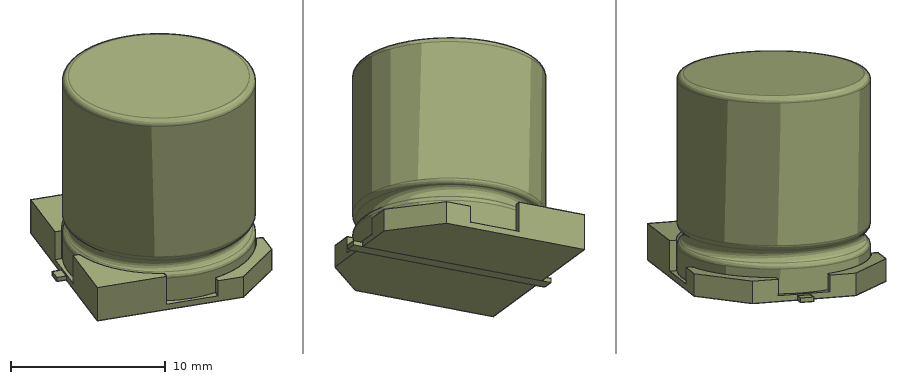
import cadquery as cq
import math

base_width = 13.0
base_height = 2.43
low_height = 1.5
corner_chamfer = 3.0
floor_height = 0.4
notch_width = 3.5

can_radius = 12.5 / 2
can_top = 13.51
top_edge_radius = 0.4
groove_radius = 0.49
groove_depth = 0.46
lip_radius = 0.4
groove_height = 2.83

seat_clearance = 0.05

terminal_length = 14.3
terminal_width = 0.9
terminal_thickness = 0.3


def make_terminal():
    return cq.Workplane("XY").box(
        terminal_width, terminal_length, terminal_thickness, centered=(True, True, False)
    )


def make_base(terminal):
    block = (
        cq.Workplane("XY")
        .box(base_width, base_width, base_height, centered=(True, True, False))
        .edges("|Z and >Y")
        .chamfer(corner_chamfer)
    )
    above_low_side = (
        cq.Workplane("XY", origin=(0, notch_width / 2, low_height))
        .box(base_width, base_width, base_height, centered=(True, False, False))
    )
    floor = cq.Workplane("XY", origin=(0, 0, floor_height))
    seat = floor.circle(can_radius + seat_clearance).extrude(base_height)
    notches_y = floor.rect(notch_width, base_width).extrude(base_height)
    notches_x = floor.rect(base_width, notch_width).extrude(base_height)
    return block.cut(above_low_side).cut(seat).cut(notches_y).cut(notches_x).cut(terminal)


def make_can():
    centre_distance = groove_radius + lip_radius
    centre_offset_r = centre_distance - groove_depth
    centre_offset_z = math.sqrt(centre_distance**2 - centre_offset_r**2)
    lip_centre_r = can_radius - lip_radius
    lip_share = lip_radius / centre_distance
    joint_r = lip_centre_r + lip_share * centre_offset_r
    joint_offset_z = (1 - lip_share) * centre_offset_z

    lip_half_angle = math.atan2(centre_offset_z, centre_offset_r) / 2
    lip_mid_r = lip_centre_r + lip_radius * math.cos(lip_half_angle)
    lip_mid_offset_z = centre_offset_z - lip_radius * math.sin(lip_half_angle)

    lower_lip_start = (can_radius, groove_height - centre_offset_z)
    lower_lip_middle = (lip_mid_r, groove_height - lip_mid_offset_z)
    lower_joint = (joint_r, groove_height - joint_offset_z)
    groove_bottom = (can_radius - groove_depth, groove_height)
    upper_joint = (joint_r, groove_height + joint_offset_z)
    upper_lip_middle = (lip_mid_r, groove_height + lip_mid_offset_z)
    upper_lip_end = (can_radius, groove_height + centre_offset_z)

    profile = (
        cq.Workplane("XZ")
        .moveTo(0, floor_height)
        .lineTo(can_radius, floor_height)
        .lineTo(*lower_lip_start)
        .threePointArc(lower_lip_middle, lower_joint)
        .threePointArc(groove_bottom, upper_joint)
        .threePointArc(upper_lip_middle, upper_lip_end)
        .lineTo(can_radius, can_top)
        .lineTo(0, can_top)
        .close()
    )
    can = profile.revolve(360, (0, 0, 0), (0, 1, 0))
    return can.edges(">Z").fillet(top_edge_radius)


terminal = make_terminal()
base = make_base(terminal)
can = make_can()

result = cq.Compound.makeCompound([can.val(), base.val(), terminal.val()])